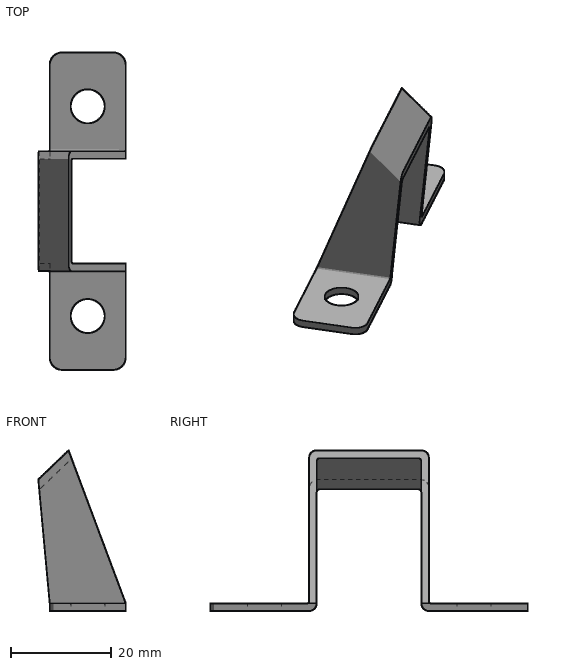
import cadquery as cq
import math

length = 63.5
height = 32.13
depth = 17.52
sheet = 1.55

foot_width = 15.24
foot_corner_radius = 2.54
hole_diameter = 6.75
hole_spacing = 41.91
foot_bend_inner_radius = 0.4
foot_bend_outer_radius = 1.5

bridge_width = 24.0
top_slope = 43.8
top_run = 6.08
top_bend_inner_radius = 0.6
top_bend_outer_radius = 1.52

foot_x = foot_width / 2
tip_x = foot_x - depth
tip_z = height - top_run * math.tan(math.radians(top_slope))
outer_y = bridge_width / 2
inner_y = outer_y - sheet
end_y = length / 2


def make_sloped_bar(width, drop, bend_radius):
    """Bar along the slope of the top plate, its rounded top set below the plate's upper face by drop."""
    slope = math.radians(top_slope)
    along_slope = cq.Plane(
        origin=(tip_x, 0, tip_z),
        xDir=(0, 1, 0),
        normal=(math.cos(slope), 0, math.sin(slope)),
    )
    bar_depth = 2 * height
    return (
        cq.Workplane(along_slope)
        .center(0, -drop - bar_depth / 2)
        .rect(width, bar_depth)
        .extrude(height + depth, both=True)
        .edges(cq.selectors.ParallelDirSelector(along_slope.zDir))
        .fillet(bend_radius)
    )


def make_bent_sheet():
    """Legs, top plate and feet with all their bends, wider in X than the finished part."""
    outside = make_sloped_bar(bridge_width, 0, top_bend_outer_radius)
    inside = make_sloped_bar(2 * inner_y, sheet, top_bend_inner_radius)
    above_ground = cq.Workplane("XY").rect(2 * depth, length).extrude(height)
    feet = cq.Workplane("XY").rect(2 * depth, length).extrude(sheet)
    body = outside.intersect(above_ground).union(feet).cut(inside)
    for side in (-1, 1):
        inner_corner = cq.selectors.NearestToPointSelector((0, side * outer_y, sheet))
        body = body.edges(inner_corner).fillet(foot_bend_inner_radius)
        outer_corner = cq.selectors.NearestToPointSelector((0, side * inner_y, 0))
        body = body.edges(outer_corner).fillet(foot_bend_outer_radius)
    return body


def make_side_outline():
    """Side silhouette of the part: foot, leaning leg edges and sloping top."""
    return (
        cq.Workplane("XZ")
        .moveTo(foot_x, 0)
        .lineTo(-foot_x, 0)
        .lineTo(-foot_x, sheet)
        .lineTo(tip_x, tip_z)
        .lineTo(tip_x + top_run, height)
        .lineTo(foot_x, sheet)
        .close()
        .extrude(end_y, both=True)
    )


def make_foot_holes():
    """Pair of mounting hole cutters, one through each foot."""
    return (
        cq.Workplane("XY")
        .pushPoints([(0, -hole_spacing / 2), (0, hole_spacing / 2)])
        .circle(hole_diameter / 2)
        .extrude(sheet)
    )


trimmed = make_bent_sheet().intersect(make_side_outline())
rounded = trimmed.faces("<Y or >Y").edges("|Z").fillet(foot_corner_radius)
result = rounded.cut(make_foot_holes())